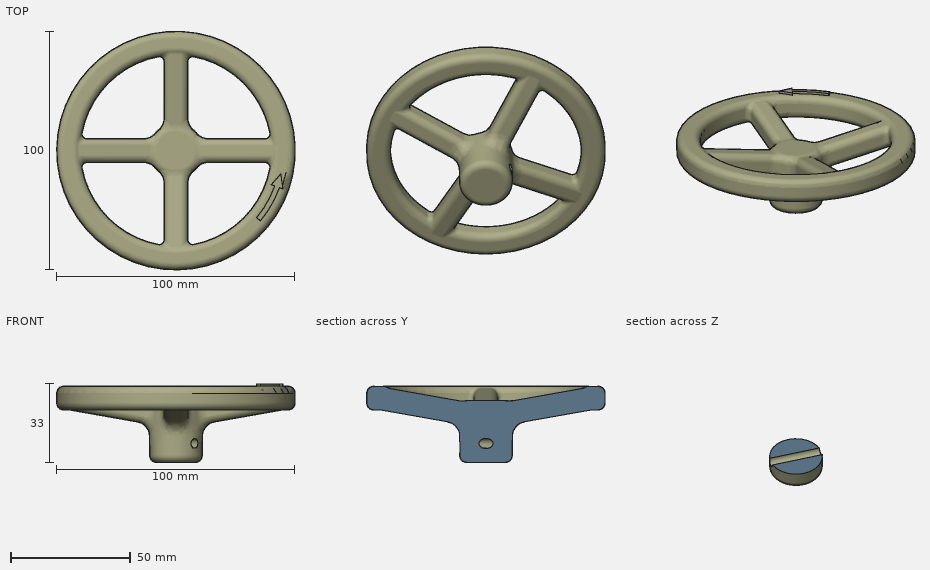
import cadquery as cq
import math

rim_outer_radius = 50.0
rim_section = 10.0
rim_inner_radius = rim_outer_radius - rim_section
rim_middle_radius = rim_outer_radius - rim_section / 2

rim_top = 32.0
rim_bottom = rim_top - rim_section
hub_top = 26.0

edge_radius = 3.0

hub_bottom_radius = 11.0
hub_top_radius = 11.4
hub_top_edge_radius = 3.3

spoke_count = 4
spoke_width = 10.0
spoke_height = 9.7
spoke_slope = 10.0
spoke_end_radius = 44.8
spoke_axis_top = 24.0

hub_blend_radius = 6.0
rim_blend_radius = 2.0

pin_diameter = 4.0
pin_hole_height = 8.0
pin_hole_angle = -45.0

arrow_rise = 1.0
arrow_root_depth = 2.0
arrow_tail_angle = -39.8
arrow_neck_angle = -19.7
arrow_tip_angle = -12.5
arrow_shaft_width = 2.1
arrow_head_width = 5.2


def polar(radius, degrees):
    """Point in the XY plane at a radius and an angle from +X."""
    angle = math.radians(degrees)
    return (radius * math.cos(angle), radius * math.sin(angle))


def make_rim():
    """Ring with rounded corners, its seam turned away from the spokes."""
    ring = (
        cq.Workplane("XY")
        .workplane(offset=rim_bottom)
        .circle(rim_outer_radius)
        .circle(rim_inner_radius)
        .extrude(rim_section)
        .edges("%CIRCLE")
        .fillet(edge_radius)
    )
    return ring.rotate((0, 0, 0), (0, 0, 1), 180 / spoke_count)


def make_hub():
    """Tapered hub with rounded ends, its seam turned away from the spokes."""
    hub = (
        cq.Workplane("XZ")
        .lineTo(hub_bottom_radius, 0)
        .lineTo(hub_top_radius, hub_top)
        .lineTo(0, hub_top)
        .close()
        .revolve(360, (0, 0, 0), (0, 1, 0))
    )
    hub = hub.faces(">Z").edges().fillet(hub_top_edge_radius)
    hub = hub.faces("<Z").edges().fillet(edge_radius)
    return hub.rotate((0, 0, 0), (0, 0, 1), 180 / spoke_count)


def make_spoke(angle):
    """Rounded bar rising outwards from the axis and ending inside the rim."""
    bar = (
        cq.Workplane("XY")
        .box(rim_outer_radius, spoke_width, spoke_height, centered=(False, True, False))
        .edges("|X")
        .fillet(edge_radius)
        .translate((0, 0, -spoke_height))
        .rotate((0, 0, 0), (0, 1, 0), -spoke_slope)
        .translate((0, 0, spoke_axis_top))
    )
    envelope = cq.Workplane("XY").circle(spoke_end_radius).extrude(rim_top)
    return bar.intersect(envelope).rotate((0, 0, 0), (0, 0, 1), angle)


def axis_distance(edge):
    """Distance of the middle of an edge from the hub axis."""
    center = edge.Center()
    return math.hypot(center.x, center.y)


def blend_spokes_into_hub(body):
    """Round the closed seam between each spoke and the hub."""
    seams = [
        edge
        for edge in body.edges().vals()
        if edge.geomType() not in ("LINE", "CIRCLE") and axis_distance(edge) < rim_inner_radius / 2
    ]
    return body.newObject(seams).fillet(hub_blend_radius)


def blend_spokes_into_rim(body):
    """Round the sides and top of the seam between each spoke and the rim."""
    lowest = rim_bottom + edge_radius
    seams = [
        edge
        for edge in body.edges("%BSPLINE").vals()
        if edge.Center().z > lowest and rim_inner_radius / 2 < axis_distance(edge) < rim_middle_radius
    ]
    return body.newObject(seams).fillet(rim_blend_radius)


def make_pin_hole():
    """Cylinder that crosses the whole hub through its axis."""
    reach = 2 * hub_top_radius
    drill = cq.Workplane("YZ").circle(pin_diameter / 2).extrude(reach, both=True)
    return drill.rotate((0, 0, 0), (0, 0, 1), pin_hole_angle).translate((0, 0, pin_hole_height))


def make_arrow():
    """Arrow bent along the middle of the rim, rooted in the rim and rising above it."""
    shaft_inner = rim_middle_radius - arrow_shaft_width / 2
    shaft_outer = rim_middle_radius + arrow_shaft_width / 2
    head_inner = rim_middle_radius - arrow_head_width / 2
    head_outer = rim_middle_radius + arrow_head_width / 2
    shaft_middle_angle = (arrow_tail_angle + arrow_neck_angle) / 2
    return (
        cq.Workplane("XY")
        .workplane(offset=rim_top - arrow_root_depth)
        .moveTo(*polar(shaft_inner, arrow_tail_angle))
        .threePointArc(polar(shaft_inner, shaft_middle_angle), polar(shaft_inner, arrow_neck_angle))
        .lineTo(*polar(head_inner, arrow_neck_angle))
        .lineTo(*polar(rim_middle_radius, arrow_tip_angle))
        .lineTo(*polar(head_outer, arrow_neck_angle))
        .lineTo(*polar(shaft_outer, arrow_neck_angle))
        .threePointArc(polar(shaft_outer, shaft_middle_angle), polar(shaft_outer, arrow_tail_angle))
        .close()
        .extrude(arrow_root_depth + arrow_rise)
    )


wheel = make_hub()
for index in range(spoke_count):
    wheel = wheel.union(make_spoke(index * 360 / spoke_count))
wheel = blend_spokes_into_hub(wheel)
wheel = blend_spokes_into_rim(wheel.union(make_rim()))
wheel = wheel.cut(make_pin_hole())
result = wheel.union(make_arrow())